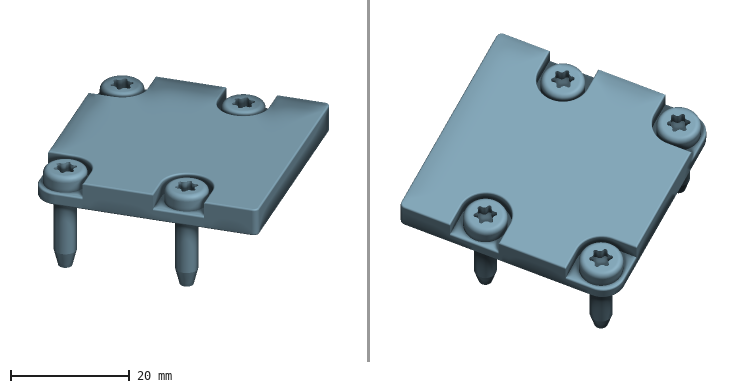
import cadquery as cq
import math

plate_side = 40.0
plate_thickness = 5.0
half_side = plate_side / 2
left_corner_radius = 4.0
right_corner_radius = 1.0
edge_round = 0.3

seat_depth = 2.8
seat_floor_z = plate_thickness - seat_depth
seat_width = 9.0
seat_radius = seat_width / 2
clearance_hole_diameter = 4.5

screw_edge_distance = seat_radius
corner_screw_x = screw_edge_distance - half_side
middle_screw_x = 6.0
screw_y = half_side - screw_edge_distance
screw_positions = [(x, y) for x in (corner_screw_x, middle_screw_x) for y in (-screw_y, screw_y)]

head_diameter = 7.5
head_height = seat_depth
head_round = 0.95
shank_diameter = 3.9
screw_length_below_plate = 13.6
tip_diameter = 2.4
tip_length = 3.0

lobe_count = 6
socket_outer_radius = 2.0
socket_inner_radius = 1.45
lobe_tip_radius = 0.4
socket_depth = 2.0


def make_slab(thickness):
    """Square slab on Z = 0 with the plate's outline: large corners on the left, small on the right."""
    slab = cq.Workplane("XY").box(plate_side, plate_side, thickness, centered=(True, True, False))
    slab = slab.edges("|Z and <X").fillet(left_corner_radius)
    return slab.edges("|Z and >X").fillet(right_corner_radius)


def make_seat_column(screw_x, side, open_to_left):
    """Seat outline through the whole thickness: round about the screw, run out to the
    edge at Y = side * half_side and, for a corner seat, to the left edge as well."""
    center = cq.Workplane("XY").center(screw_x, side * screw_y)
    column = center.circle(seat_radius).extrude(plate_thickness)
    run_outs = [(0, side * seat_radius)]
    if open_to_left:
        run_outs += [(-seat_radius, 0), (-seat_radius, side * seat_radius)]
    for offset in run_outs:
        column = column.union(center.center(*offset).rect(seat_width, seat_width).extrude(plate_thickness))
    return column


def make_plate():
    raised = make_slab(plate_thickness)
    for side in (-1, 1):
        raised = raised.cut(make_seat_column(corner_screw_x, side, open_to_left=True))
        raised = raised.cut(make_seat_column(middle_screw_x, side, open_to_left=False))
    raised = raised.faces(">Z").edges().fillet(edge_round)

    seat_slab = make_slab(seat_floor_z).faces(">Z").edges().fillet(edge_round)
    plate = raised.union(seat_slab)
    plate = plate.faces("<Z").edges().fillet(edge_round)

    holes = cq.Workplane("XY").pushPoints(screw_positions).circle(clearance_hole_diameter / 2)
    return plate.cut(holes.extrude(plate_thickness))


def polar(radius, angle):
    return (radius * math.cos(angle), radius * math.sin(angle))


def make_socket_cutter():
    """Six-lobed socket: small convex lobe arcs joined tangentially by hollow flute arcs."""
    half_step = math.pi / lobe_count
    lobe_center = socket_outer_radius - lobe_tip_radius
    spread = 2 * lobe_center * math.cos(half_step)
    flute_radius = (
        (lobe_center**2 + socket_inner_radius**2 - lobe_tip_radius**2 - spread * socket_inner_radius)
        / (spread + 2 * lobe_tip_radius - 2 * socket_inner_radius)
    )
    flute_center = socket_inner_radius + flute_radius
    share = lobe_tip_radius / (lobe_tip_radius + flute_radius)
    flute_x, flute_y = polar(flute_center, half_step)
    tangent_x = lobe_center + share * (flute_x - lobe_center)
    tangent_y = share * flute_y
    tangent_radius = math.hypot(tangent_x, tangent_y)
    tangent_angle = math.atan2(tangent_y, tangent_x)

    first_lobe_angle = math.pi / 2
    outline = cq.Workplane("XY", origin=(0, 0, plate_thickness - socket_depth))
    outline = outline.moveTo(*polar(tangent_radius, first_lobe_angle - tangent_angle))
    for lobe in range(lobe_count):
        angle = first_lobe_angle + lobe * 2 * half_step
        lobe_end = polar(tangent_radius, angle + tangent_angle)
        outline = outline.threePointArc(polar(socket_outer_radius, angle), lobe_end)
        flute_end = polar(tangent_radius, angle + 2 * half_step - tangent_angle)
        outline = outline.threePointArc(polar(socket_inner_radius, angle + half_step), flute_end)
    return outline.close().extrude(socket_depth)


def make_screw(position):
    head = cq.Workplane("XY", origin=(0, 0, seat_floor_z)).circle(head_diameter / 2).extrude(head_height)
    head = head.faces(">Z").edges().fillet(head_round).cut(make_socket_cutter())
    shank_radius = shank_diameter / 2
    tip_z = -screw_length_below_plate
    shank = (
        cq.Workplane("XZ")
        .moveTo(0, seat_floor_z)
        .lineTo(shank_radius, seat_floor_z)
        .lineTo(shank_radius, tip_z + tip_length)
        .lineTo(tip_diameter / 2, tip_z)
        .lineTo(0, tip_z)
        .close()
        .revolve(360, (0, 0, 0), (0, 1, 0))
    )
    return head.union(shank).translate((*position, 0))


plate = make_plate()
screws = [make_screw(position) for position in screw_positions]
result = cq.Compound.makeCompound([plate.val(), *[screw.val() for screw in screws]])